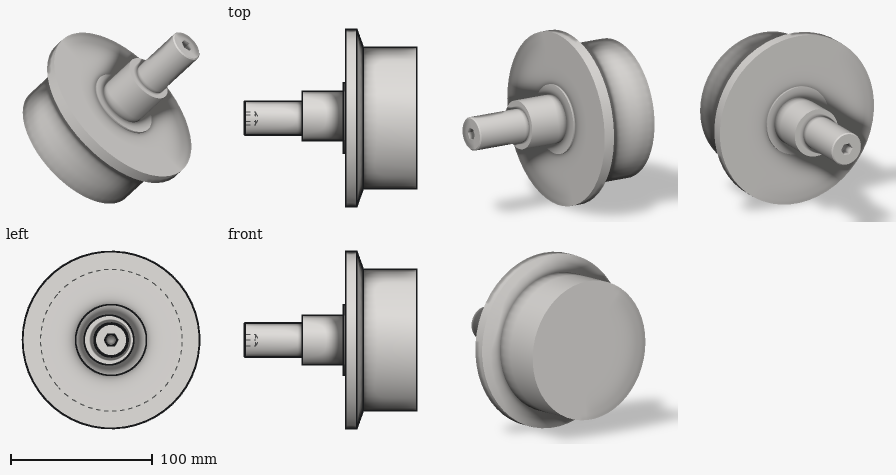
import cadquery as cq
import math


shaft_diameter = 24.0
shaft_length = 41.0
shaft_chamfer = 0.8

collar_diameter = 35.0
collar_length = 29.0
collar_offset = 1.5

spacer_diameter = 50.0
spacer_thickness = 1.6

flange_diameter = 125.0
flange_thickness = 7.9
flange_taper_length = 4.5
tread_diameter = 100.0
overall_length = 122.0

socket_across_flats = 8.0
socket_depth = 8.0
drill_point_angle = 120.0

collar_start = shaft_length
spacer_start = collar_start + collar_length
flange_start = spacer_start + spacer_thickness
taper_start = flange_start + flange_thickness
tread_start = taper_start + flange_taper_length


def axial_cylinder(diameter, start, length, offset_y=0.0):
    """Solid cylinder along +X, starting at X = start."""
    plane = cq.Workplane("YZ", origin=(start, offset_y, 0))
    return plane.circle(diameter / 2).extrude(length)


def make_shaft():
    shaft = axial_cylinder(shaft_diameter, 0, shaft_length)
    return shaft.faces("<X").chamfer(shaft_chamfer)


def make_wheel():
    """Flange, tapered back of the flange and tread, revolved in one piece."""
    flange_radius = flange_diameter / 2
    tread_radius = tread_diameter / 2
    profile = (
        cq.Workplane("XY")
        .moveTo(flange_start, 0)
        .lineTo(flange_start, flange_radius)
        .lineTo(taper_start, flange_radius)
        .lineTo(tread_start, tread_radius)
        .lineTo(overall_length, tread_radius)
        .lineTo(overall_length, 0)
        .close()
    )
    return profile.revolve(360, (0, 0, 0), (1, 0, 0))


def make_socket():
    """Hexagonal prism with two corners on the Y axis, ending in a cone."""
    across_corners = socket_across_flats / math.cos(math.radians(30))
    hexagon = cq.Workplane("YZ").polygon(6, across_corners).extrude(socket_depth)
    cone_radius = socket_across_flats / 2
    cone_height = cone_radius / math.tan(math.radians(drill_point_angle / 2))
    cone = cq.Solid.makeCone(
        cone_radius, 0, cone_height, cq.Vector(socket_depth, 0, 0), cq.Vector(1, 0, 0)
    )
    return hexagon.union(cq.Workplane(cone))


collar = axial_cylinder(collar_diameter, collar_start, collar_length, collar_offset)
spacer = axial_cylinder(spacer_diameter, spacer_start, spacer_thickness)

result = make_shaft().union(collar).union(spacer).union(make_wheel()).cut(make_socket())